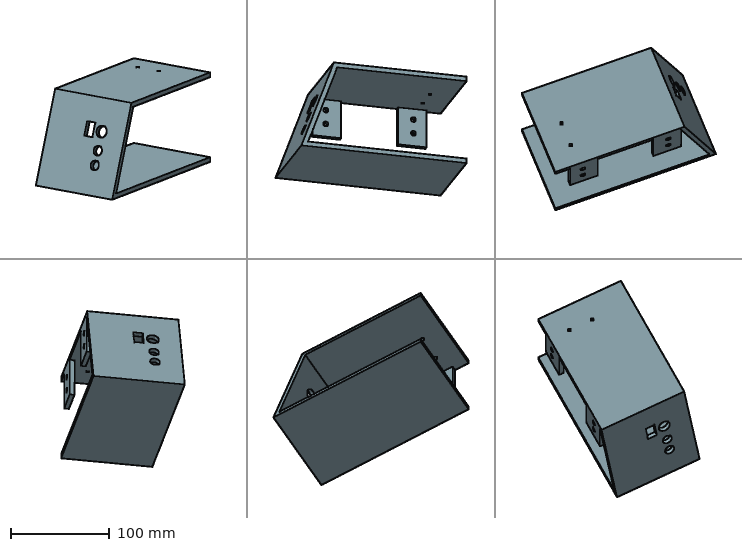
import cadquery as cq
import math

width = 94.0
length = 174.0
height = 94.0
wall = 5.0
roof_underside = height - wall

lean = math.radians(20)
front_top_y = height * math.tan(lean)
panel_depth = wall / math.cos(lean)
inner_foot_y = panel_depth + wall * math.tan(lean)
inner_top_y = panel_depth + roof_underside * math.tan(lean)

bracket_thickness = wall
bracket_length = 30.1
bracket_drop = 40.0
bracket_hole_diameter = 5.0
bracket_hole_drops = (11.3, 26.3)
front_bracket_y = inner_top_y
front_hole_offset = 14.0
rear_bracket_y = 127.9
rear_hole_offset = 16.2

roof_hole_diameter = 3.0
roof_hole_xs = (22.5, 48.2)
roof_hole_y = length - 25.2

button_x = 65.2
button_holes = ((34.1, 12.2), (53.8, 10.0), (68.9, 10.0))
switch_x = 50.6
switch_distance = 33.8
switch_width = 10.0
switch_length = 15.0


def make_shell():
    """Floor, sloping front panel and roof as one bent strip, open at the back and sides."""
    profile = [
        (0, 0),
        (length, 0),
        (length, wall),
        (inner_foot_y, wall),
        (inner_top_y, roof_underside),
        (length, roof_underside),
        (length, height),
        (front_top_y, height),
    ]
    return cq.Workplane("YZ").polyline(profile).close().extrude(width)


def make_bracket(front_y, hole_offset):
    """Plate hanging from the roof, with two screw holes across it."""
    plate = (
        cq.Workplane("XY", origin=(0, front_y, roof_underside - bracket_drop))
        .box(bracket_thickness, bracket_length, bracket_drop + wall, centered=False)
    )
    hole_points = [(front_y + hole_offset, roof_underside - drop) for drop in bracket_hole_drops]
    holes = (
        cq.Workplane("YZ")
        .pushPoints(hole_points)
        .circle(bracket_hole_diameter / 2)
        .extrude(bracket_thickness)
    )
    return plate.cut(holes)


def make_roof_holes():
    """Pair of screw holes through the roof near its open end."""
    return (
        cq.Workplane("XY", origin=(0, 0, roof_underside))
        .pushPoints([(x, roof_hole_y) for x in roof_hole_xs])
        .circle(roof_hole_diameter / 2)
        .extrude(wall)
    )


def make_panel_openings():
    """Round button holes and the switch slot, cut square through the front panel."""
    panel_face = cq.Plane(
        origin=(0, front_top_y, height),
        xDir=(1, 0, 0),
        normal=(0, -math.cos(lean), math.sin(lean)),
    )
    openings = (
        cq.Workplane(panel_face)
        .center(switch_x, -switch_distance)
        .rect(switch_width, switch_length)
        .extrude(-wall)
    )
    for distance, diameter in button_holes:
        hole = (
            cq.Workplane(panel_face)
            .center(button_x, -distance)
            .circle(diameter / 2)
            .extrude(-wall)
        )
        openings = openings.union(hole)
    return openings


result = (
    make_shell()
    .union(make_bracket(front_bracket_y, front_hole_offset))
    .union(make_bracket(rear_bracket_y, rear_hole_offset))
    .cut(make_roof_holes())
    .cut(make_panel_openings())
)